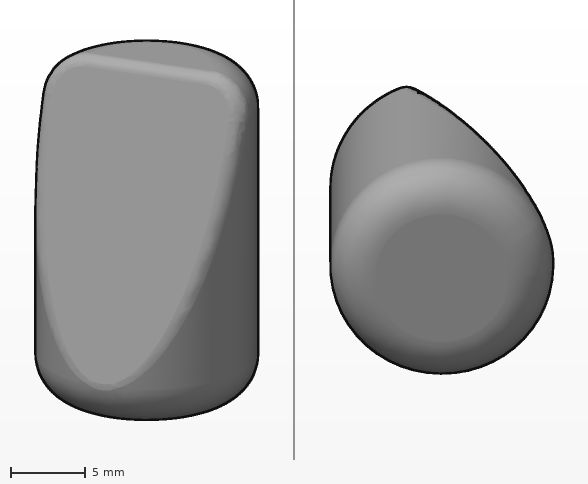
import cadquery as cq

height = 23.5
diameter = 15.0
end_round = 3.0
face_round = 1.0

radius = diameter / 2


def rounded_cylinder():
    """Upright cylinder with both circular ends rounded."""
    body = cq.Workplane("XY").circle(radius).extrude(height)
    return body.faces("<Z or >Z").edges().fillet(end_round)


def slope_cutter():
    """Wedge in front of the plane from the top centre to the start of the lower rounding."""
    return (
        cq.Workplane("YZ")
        .moveTo(0, height)
        .lineTo(-radius, end_round)
        .lineTo(-radius, height)
        .close()
        .extrude(radius, both=True)
    )


def soften_face_rim(body):
    """Round every edge around the sloping flat face."""
    slope_normal = cq.Vector(0, end_round - height, radius)
    along_slope = cq.selectors.ParallelDirSelector(slope_normal)
    return body.faces(along_slope).edges().fillet(face_round)


sloped_body = rounded_cylinder().cut(slope_cutter())
result = soften_face_rim(sloped_body)